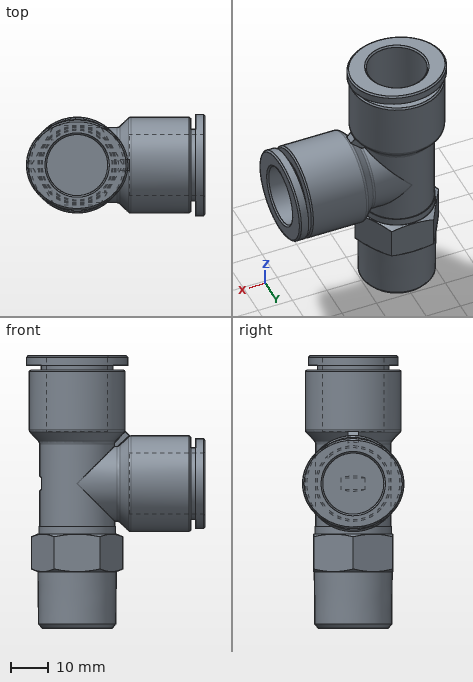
import cadquery as cq
import math

overall_height = 72.5
arm_length = 34.0
junction_z = overall_height - arm_length

barrel_radius = 10.0
shoulder_start = 11.0
shoulder_end = 13.9
socket_radius = 12.75
socket_end = 30.2
socket_edge = 0.4
shoulder_fillet = 1.1

collar_length = 27.0
collar_width = 23.9
collar_thickness = 2.55
collar_edge = 0.4
collar_neck_radius = 9.6
bore_radius = 8.1
bore_edge = 0.4
bore_depth = arm_length - shoulder_end

web_thickness = 2.9

flat_width = 6.4
flat_height = 3.05

thread_top_radius = 10.45
thread_bottom_radius = 10.3
thread_chamfer_height = 1.2
thread_chamfer = 1.0
hex_bottom = 15.0
hex_top = 25.15
hex_across_flats = 21.1
hex_face_radius = 10.3
hex_corner_drop = 0.8
stem_collar_top = 27.1
stem_collar_radius = 10.2


def make_arm():
    """Solid arm along +Z from the junction, with its release collar and no bore."""
    body = (
        cq.Workplane("XZ")
        .polyline([
            (0, 0),
            (barrel_radius, 0),
            (barrel_radius, shoulder_start),
            (socket_radius, shoulder_end),
            (socket_radius, socket_end),
            (0, socket_end),
        ])
        .close()
        .revolve(360, (0, 0), (0, 1))
    )
    body = body.faces(">Z").edges().chamfer(socket_edge)
    shoulder_edges = cq.selectors.BoxSelector(
        (-socket_radius, -socket_radius, shoulder_start - shoulder_fillet),
        (socket_radius, socket_radius, shoulder_end + shoulder_fillet),
    )
    body = body.edges("%CIRCLE").edges(shoulder_edges).fillet(shoulder_fillet)

    neck = cq.Workplane("XY").circle(collar_neck_radius).extrude(arm_length - collar_thickness)
    collar = (
        cq.Workplane("XY")
        .workplane(offset=arm_length - collar_thickness)
        .ellipse(collar_length / 2, collar_width / 2)
        .extrude(collar_thickness)
        .faces(">Z").edges().chamfer(collar_edge)
    )
    return body.union(neck).union(collar)


def make_bore():
    """Tube socket of one arm, flared at the mouth."""
    floor = arm_length - bore_depth
    return (
        cq.Workplane("XZ")
        .polyline([
            (0, floor),
            (bore_radius, floor),
            (bore_radius, arm_length - bore_edge),
            (bore_radius + bore_edge, arm_length),
            (0, arm_length),
        ])
        .close()
        .revolve(360, (0, 0), (0, 1))
    )


def place_top(shape):
    return shape.translate((0, 0, junction_z))


def place_branch(shape):
    """Turn an arm onto +X, with the long axis of its collar along Y."""
    turned = shape.rotate((0, 0, 0), (0, 0, 1), 90).rotate((0, 0, 0), (0, 1, 0), 90)
    return turned.translate((0, 0, junction_z))


def make_web():
    """Plate in the corner between the two arms, closed by a 45 degree outer face."""
    return (
        cq.Workplane("XZ", origin=(0, 0, junction_z))
        .polyline([(0, 0), (shoulder_end, socket_radius), (socket_radius, shoulder_end)])
        .close()
        .extrude(web_thickness / 2, both=True)
    )


def make_hex():
    """Wrench hexagon with corners on the X axis, chamfered at both ends."""
    corner_radius = hex_across_flats / math.sqrt(3)
    prism = (
        cq.Workplane("XY")
        .workplane(offset=hex_bottom)
        .polygon(6, 2 * corner_radius)
        .extrude(hex_top - hex_bottom)
    )
    corner_cones = (
        cq.Workplane("XZ")
        .polyline([
            (0, hex_bottom),
            (hex_face_radius, hex_bottom),
            (corner_radius, hex_bottom + hex_corner_drop),
            (corner_radius, hex_top - hex_corner_drop),
            (hex_face_radius, hex_top),
            (0, hex_top),
        ])
        .close()
        .revolve(360, (0, 0), (0, 1))
    )
    return prism.intersect(corner_cones)


def make_stem():
    """Tapered thread blank, hexagon, low collar and the barrel up to the junction."""
    turned = (
        cq.Workplane("XZ")
        .polyline([
            (0, 0),
            (thread_bottom_radius - thread_chamfer, 0),
            (thread_bottom_radius, thread_chamfer_height),
            (thread_top_radius, hex_bottom),
            (stem_collar_radius, hex_top),
            (stem_collar_radius, stem_collar_top),
            (barrel_radius, stem_collar_top),
            (barrel_radius, junction_z),
            (0, junction_z),
        ])
        .close()
        .revolve(360, (0, 0), (0, 1))
    )
    return turned.union(make_hex())


def make_flat_cut():
    """Shallow recess in the -X side of the barrel, with 45 degree ends."""
    half_height = flat_height / 2
    floor_x = math.sqrt(barrel_radius**2 - (flat_width / 2)**2)
    reach = barrel_radius - floor_x
    return (
        cq.Workplane("XZ", origin=(0, 0, junction_z))
        .polyline([
            (-floor_x, -half_height),
            (-floor_x, half_height),
            (-barrel_radius, half_height + reach),
            (-barrel_radius, -half_height - reach),
        ])
        .close()
        .extrude(barrel_radius, both=True)
    )


arm = make_arm()
bore = make_bore()
result = (
    make_stem()
    .union(place_top(arm))
    .union(place_branch(arm))
    .union(make_web())
    .cut(place_top(bore))
    .cut(place_branch(bore))
    .cut(make_flat_cut())
)